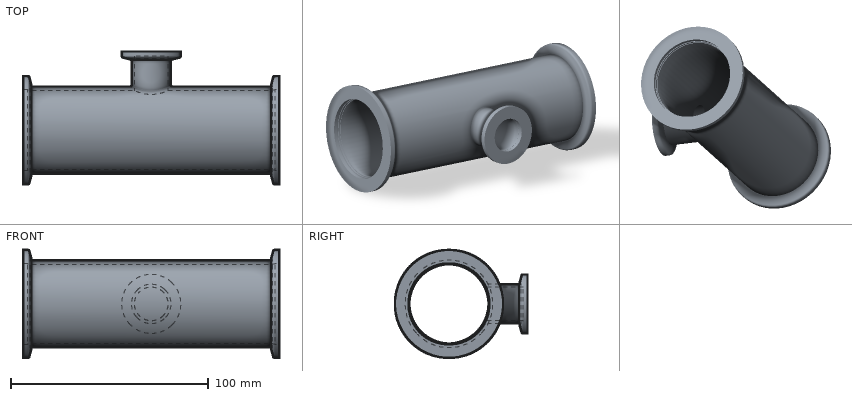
import cadquery as cq
import math

LENGTH = 130.0
TOTAL_DEPTH = 67.5
TUBE_OD = 44.5
TUBE_BORE = 40.0

BRANCH_OD = 20.0
BRANCH_BORE = 17.0
WELD_RADIUS = 0.5

RIM_WIDTH = 2.2
RIM_ROUND = 1.0
CONE_ANGLE = math.radians(15)
RECESS_DEPTH = 2.3
SOCKET_DEPTH = 3.5

RUN_FLANGE_OD = 55.0
RUN_NECK_OD = 45.2
RUN_RECESS = 41.2
RUN_FLANGE_BORE = 40.5

BRANCH_FLANGE_OD = 30.0
BRANCH_NECK_OD = 20.2
BRANCH_RECESS = 17.2
BRANCH_FLANGE_BORE = BRANCH_BORE

RUN_FACE_X = LENGTH / 2
BRANCH_FACE_Y = TOTAL_DEPTH - RUN_FLANGE_OD / 2

RUN_TUBE_LENGTH = LENGTH - 2 * SOCKET_DEPTH
BRANCH_TUBE_END = BRANCH_FACE_Y - SOCKET_DEPTH


def cylinder(diameter, length, direction, start=(0, 0, 0)):
    """Round bar that runs from start along direction."""
    solid = cq.Solid.makeCylinder(diameter / 2, length, cq.Vector(*start), cq.Vector(*direction))
    return cq.Workplane(obj=solid)


def make_tee():
    """Run tube with its welded branch tube and both bores."""
    run_start = (-RUN_TUBE_LENGTH / 2, 0, 0)
    run = cylinder(TUBE_OD, RUN_TUBE_LENGTH, (1, 0, 0), run_start)
    branch = cylinder(BRANCH_OD, BRANCH_TUBE_END, (0, 1, 0))
    reach = BRANCH_OD / 2 + WELD_RADIUS
    weld_zone = cq.selectors.BoxSelector((-reach, WELD_RADIUS, -reach), (reach, TUBE_OD / 2, reach))
    tee = run.union(branch).edges(weld_zone).fillet(WELD_RADIUS)
    tee = tee.cut(cylinder(TUBE_BORE, RUN_TUBE_LENGTH, (1, 0, 0), run_start))
    return tee.cut(cylinder(BRANCH_BORE, BRANCH_TUBE_END, (0, 1, 0)))


def make_flange(face_centre, inward, outer, neck, tube, recess, bore):
    """Clamp flange whose sealing face is at face_centre and whose cone tapers along inward."""
    rim_radius = outer / 2
    neck_radius = neck / 2
    round_centre = rim_radius - RIM_ROUND

    def round_point(angle):
        return (round_centre + RIM_ROUND * math.cos(angle), RIM_WIDTH + RIM_ROUND * math.sin(angle))

    round_sweep = math.pi / 2 - CONE_ANGLE
    cone_radius, cone_start = round_point(round_sweep)
    flange_height = cone_start + (cone_radius - neck_radius) * math.tan(CONE_ANGLE)

    section = (
        cq.Workplane(cq.Plane(face_centre, xDir=(0, 0, 1), normal=cq.Vector(0, 0, 1).cross(cq.Vector(*inward))))
        .moveTo(recess / 2, 0)
        .lineTo(rim_radius, 0)
        .lineTo(rim_radius, RIM_WIDTH)
        .threePointArc(round_point(round_sweep / 2), (cone_radius, cone_start))
        .lineTo(neck_radius, flange_height)
        .lineTo(tube / 2, flange_height)
        .lineTo(tube / 2, SOCKET_DEPTH)
        .lineTo(bore / 2, SOCKET_DEPTH)
        .lineTo(bore / 2, RECESS_DEPTH)
        .lineTo(recess / 2, RECESS_DEPTH)
        .close()
    )
    return section.revolve(360, (0, 0), (0, 1))


tee_tube = make_tee()

run_flanges = []
for side in (-1, 1):
    run_flange = make_flange(
        (side * RUN_FACE_X, 0, 0), (-side, 0, 0),
        RUN_FLANGE_OD, RUN_NECK_OD, TUBE_OD, RUN_RECESS, RUN_FLANGE_BORE,
    )
    run_flanges.append(run_flange.val())

branch_flange = make_flange(
    (0, BRANCH_FACE_Y, 0), (0, -1, 0),
    BRANCH_FLANGE_OD, BRANCH_NECK_OD, BRANCH_OD, BRANCH_RECESS, BRANCH_FLANGE_BORE,
)

result = cq.Compound.makeCompound([tee_tube.val(), *run_flanges, branch_flange.val()])